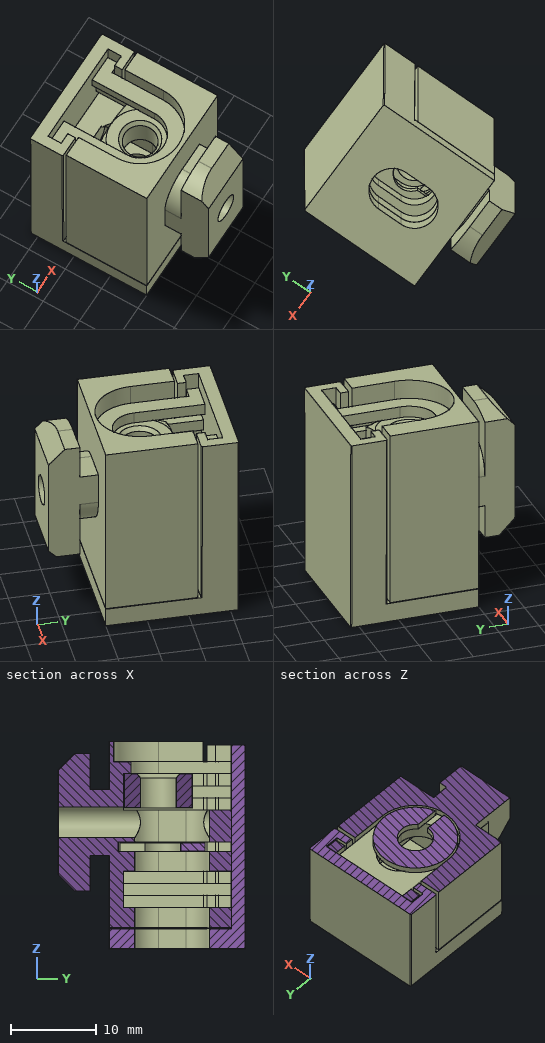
import cadquery as cq
import math


cover_height = 23.99
cover_top_width = 16.3
cover_back = 10.22
lip_front = 5.69
edge_chamfer = 0.12
floor_thickness = 2.4
channel_back = 8.55
channel_front = 6.73
channel_half_width = 6.78
lip_half_gap = 5.3

block_width = 16.05
block_front = -5.78
block_back = 5.3
block_bottom = 2.46
block_top = 24.4
recess_depth = 2.4
rail_top = block_top - recess_depth
rail_front = 7.05
rail_half_width = 6.69
neck_half_width = 5.25
top_slot_radius = 3.2

nut_side = 8.0
nut_thickness = 4.0
seat_half_width = 4.07
groove_half_width = 5.22
groove_height = 1.42
seat_height = 3 * groove_height
upper_seat_bottom = rail_top - groove_height - seat_height
lower_seat_bottom = 4.88
washer_slot_bottom = 11.47
washer_slot_height = 1.07

screw_slot_radius = 2.75
screw_slot_back_center = 3.22
screw_slot_back = screw_slot_back_center + screw_slot_radius
cross_hole_radius = 1.78

head_axis_z = 14.88
head_half_width = 3.9
head_radius = 8.1
head_front = -11.79
head_back = -8.0
head_chamfer = 1.95

nut_bore_radius = 2.1
nut_countersink_radius = 2.54
nut_countersink_depth = 0.5
nut_corner_angle = 30

washer_center_y = 0.51
washer_radius = 5.0
washer_hole_radius = 2.1
washer_thickness = 1.0
washer_split = 1.17


def box(x_min, x_max, y_min, y_max, z_min, z_max):
    """Box between the given limits."""
    return cq.Workplane("XY").box(
        x_max - x_min, y_max - y_min, z_max - z_min, centered=False
    ).translate((x_min, y_min, z_min))


def centered_box(half_width, y_min, y_max, z_min, z_max):
    """Box that is symmetric about X = 0."""
    return box(-half_width, half_width, y_min, y_max, z_min, z_max)


def round_front_slot(radius, round_center_y, y_back, z_min, z_max):
    """U-shaped prism: round at its front end and flat at y_back."""
    return (
        cq.Workplane("XY", origin=(0, 0, z_min))
        .moveTo(-radius, y_back)
        .lineTo(-radius, round_center_y)
        .threePointArc((0, round_center_y - radius), (radius, round_center_y))
        .lineTo(radius, y_back)
        .close()
        .extrude(z_max - z_min)
    )


def screw_slot(z_min, z_max):
    """Vertical slot with two round ends that clears the screw."""
    slot = round_front_slot(screw_slot_radius, 0, screw_slot_back_center, z_min, z_max)
    back_end = (
        cq.Workplane("XY", origin=(0, screw_slot_back_center, z_min))
        .circle(screw_slot_radius)
        .extrude(z_max - z_min)
    )
    return slot.union(back_end)


def leaning_slab(y_front):
    """Slab from y_front to the cover's back; its sides lean outward towards the top."""
    bottom_half = block_width / 2
    top_half = cover_top_width / 2
    return (
        cq.Workplane("XZ", origin=(0, cover_back, 0))
        .polyline([
            (-bottom_half, 0),
            (bottom_half, 0),
            (top_half, cover_height),
            (-top_half, cover_height),
        ])
        .close()
        .extrude(cover_back - y_front)
    )


def make_cover():
    plate = leaning_slab(lip_front).edges("not(|X or |Y)").chamfer(edge_chamfer)
    floor_space = centered_box(
        cover_top_width / 2, block_front, channel_front, 0, floor_thickness
    )
    floor = leaning_slab(block_front).intersect(floor_space)
    channel = centered_box(
        channel_half_width, channel_front, channel_back, floor_thickness, cover_height
    )
    lip_gap = centered_box(
        lip_half_gap, lip_front, channel_front, floor_thickness, cover_height
    )
    cover = plate.union(floor).cut(channel).cut(lip_gap)
    return cover.cut(screw_slot(0, floor_thickness))


def make_block_body():
    half_width = block_width / 2
    body = centered_box(half_width, block_front, block_back, block_bottom, block_top)
    recess = round_front_slot(neck_half_width, 0, block_back, rail_top, block_top)
    neck = centered_box(neck_half_width, block_back, rail_front, block_bottom, rail_top)
    flange = centered_box(rail_half_width, rail_front, channel_back, block_bottom, rail_top)
    return body.cut(recess).union(neck).union(flange)


def half_turn_prism(radius, y_min, y_max):
    """Bar along Y whose -X+Z and +X-Z quarters are rounded to the given radius."""
    bottom = head_axis_z - radius
    top = head_axis_z + radius
    disc = (
        cq.Workplane("XZ", origin=(0, y_max, head_axis_z))
        .circle(radius)
        .extrude(y_max - y_min)
    )
    bar = centered_box(head_half_width, y_min, y_max, bottom, top)
    square_left = box(-head_half_width, 0, y_min, y_max, bottom, head_axis_z)
    square_right = box(0, head_half_width, y_min, y_max, head_axis_z, top)
    return bar.intersect(disc).union(square_left).union(square_right)


def make_head():
    neck = half_turn_prism(head_half_width, head_back, block_front)
    head = half_turn_prism(head_radius, head_front, head_back)
    top = head_axis_z + head_radius
    bottom = head_axis_z - head_radius
    chamfered_profile = (
        cq.Workplane("YZ", origin=(-head_half_width, 0, 0))
        .polyline([
            (head_back, bottom),
            (head_front + head_chamfer, bottom),
            (head_front, bottom + head_chamfer),
            (head_front, top - head_chamfer),
            (head_front + head_chamfer, top),
            (head_back, top),
        ])
        .close()
        .extrude(2 * head_half_width)
    )
    return head.intersect(chamfered_profile).union(neck)


def nut_seat(z_bottom):
    """Slot open to the back, with a wide groove along its top and its bottom."""
    z_top = z_bottom + seat_height
    seat = centered_box(seat_half_width, -seat_half_width, channel_back, z_bottom, z_top)
    for groove_bottom in (z_bottom, z_top - groove_height):
        groove = centered_box(
            groove_half_width,
            -seat_half_width,
            channel_back,
            groove_bottom,
            groove_bottom + groove_height,
        )
        seat = seat.union(groove)
    return seat


def make_block():
    block = make_block_body().union(make_head())
    for seat_bottom in (upper_seat_bottom, lower_seat_bottom):
        block = block.cut(nut_seat(seat_bottom))
    top_slot = round_front_slot(top_slot_radius, 0, channel_back, upper_seat_bottom, rail_top)
    washer_slot = round_front_slot(
        groove_half_width,
        washer_center_y,
        channel_back,
        washer_slot_bottom,
        washer_slot_bottom + washer_slot_height,
    )
    cross_hole = (
        cq.Workplane("XZ", origin=(0, screw_slot_back, head_axis_z))
        .circle(cross_hole_radius)
        .extrude(screw_slot_back - head_front)
    )
    block = block.cut(top_slot).cut(washer_slot).cut(cross_hole)
    return block.cut(screw_slot(block_bottom, upper_seat_bottom))


def make_nut():
    """Square nut with its top corners turned off by a cone."""
    half_side = nut_side / 2
    corner_radius = half_side * math.sqrt(2)
    corner_drop = (corner_radius - half_side) * math.tan(math.radians(nut_corner_angle))
    body = centered_box(half_side, -half_side, half_side, 0, nut_thickness)
    turned_outline = (
        cq.Workplane("XZ")
        .polyline([
            (nut_bore_radius, 0),
            (corner_radius, 0),
            (corner_radius, nut_thickness - corner_drop),
            (half_side, nut_thickness),
            (nut_countersink_radius, nut_thickness),
            (nut_bore_radius, nut_thickness - nut_countersink_depth),
        ])
        .close()
        .revolve(360, (0, 0, 0), (0, 1, 0))
    )
    nut_bottom = upper_seat_bottom + seat_height - nut_thickness
    return body.intersect(turned_outline).translate((0, 0, nut_bottom))


def make_washer():
    """Flat ring that is split on its front side."""
    ring = (
        cq.Workplane("XY", origin=(0, washer_center_y, washer_slot_bottom))
        .circle(washer_radius)
        .circle(washer_hole_radius)
        .extrude(washer_thickness)
    )
    split = box(
        0,
        washer_split,
        washer_center_y - washer_radius,
        washer_center_y,
        washer_slot_bottom,
        washer_slot_bottom + washer_thickness,
    )
    return ring.cut(split)


cover = make_cover()
block = make_block()
nut = make_nut()
washer = make_washer()

result = cq.Compound.makeCompound([cover.val(), block.val(), nut.val(), washer.val()])